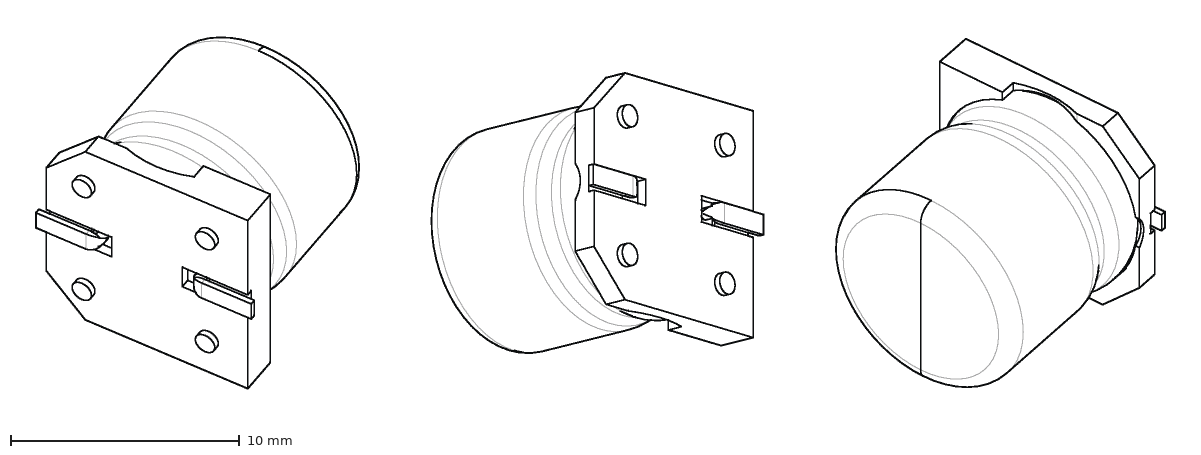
import cadquery as cq
import math


BASE_HALF = 5.15
BASE_CHAMFER = 2.0
DECK_Y = 1.12
POST_TOP_Y = 1.91
SEAT_FLOOR_Y = 0.46
POST_INNER_X = 1.73
NOTCH_DEPTH = 0.31
Z_NOTCH_HALF_WIDTH = POST_INNER_X
X_NOTCH_HALF_WIDTH = 0.82
FOOT_RADIUS = 0.5
FOOT_OFFSET = 3.15
FOOT_HEIGHT = 0.3

SLOT_HALF_WIDTH = 0.59
SLOT_DEPTH = 0.31
SLOT_INNER_X = 1.8
OPENING_OUTER_X = 2.99
LEAD_OUTER_X = 5.5
LEAD_HALF_WIDTH = 0.46
LEAD_BEND_X = 2.95
LEAD_TIP_X = 2.24
LEAD_TOP_Y = -0.02
LEAD_BOTTOM_Y = -0.29
WIRE_RADIUS = 0.26
WIRE_X = LEAD_TIP_X + WIRE_RADIUS

CAN_RADIUS = 5.0
CAN_TOP_Y = 10.21
RIM_FILLET = 0.77
BEAD_TOP_Y = 4.33
NECK_UPPER_Y = 3.72
NECK_Y = 3.01
NECK_LOWER_Y = 2.27
NECK_RADIUS = 4.63
NECK_EDGE_RADIUS = 4.87
BULGE_Y = 1.61

RIM_Y = CAN_TOP_Y - RIM_FILLET


def box(x_range, y_range, z_range):
    """Axis-aligned box from its limits along X, Y and Z."""
    return (
        cq.Workplane("XY")
        .box(
            x_range[1] - x_range[0],
            y_range[1] - y_range[0],
            z_range[1] - z_range[0],
            centered=False,
        )
        .translate((x_range[0], y_range[0], z_range[0]))
    )


def y_cylinder(radius, y_start, y_end, x=0, z=0):
    """Cylinder along Y."""
    start = cq.Vector(x, y_start, z)
    return cq.Workplane(cq.Solid.makeCylinder(radius, y_end - y_start, start, cq.Vector(0, 1, 0)))


def revolve_about_y(profile):
    """Full revolution of an open profile about the can axis."""
    return profile.close().revolve(360, (0, 0, 0), (0, 1, 0))


def arc_middle(crest, end):
    """Middle point of the arc from a crest, where it runs parallel to the can axis, to its end."""
    across = end[0] - crest[0]
    along = end[1] - crest[1]
    radius = (across**2 + along**2) / (2 * abs(across))
    half_angle = math.asin(along / radius) / 2
    x = crest[0] + math.copysign(radius * (1 - math.cos(half_angle)), across)
    return (x, crest[1] + radius * math.sin(half_angle))


def arc_notch(half_width):
    """Circular segment hanging below the deck, ready to extrude along Z."""
    return (
        cq.Workplane("XY")
        .moveTo(-half_width, DECK_Y)
        .threePointArc((0, DECK_Y - NOTCH_DEPTH), (half_width, DECK_Y))
        .close()
    )


def make_base():
    """Chamfered plate with two tall corners, a round seat, arc notches, lead slots and feet."""
    corner = BASE_HALF - BASE_CHAMFER
    plate = (
        cq.Workplane("XZ")
        .polyline([
            (-corner, -BASE_HALF),
            (BASE_HALF, -BASE_HALF),
            (BASE_HALF, BASE_HALF),
            (-corner, BASE_HALF),
            (-BASE_HALF, corner),
            (-BASE_HALF, -corner),
        ])
        .close()
        .extrude(-DECK_Y)
    )
    posts = box((POST_INNER_X, BASE_HALF), (0, POST_TOP_Y), (-BASE_HALF, BASE_HALF))
    seat = y_cylinder(CAN_RADIUS, SEAT_FLOOR_Y, POST_TOP_Y)
    z_notches = arc_notch(Z_NOTCH_HALF_WIDTH).extrude(BASE_HALF, both=True)
    x_notch = arc_notch(X_NOTCH_HALF_WIDTH).extrude(BASE_HALF).rotate((0, 0, 0), (0, 1, 0), -90)
    base = plate.union(posts).cut(seat).cut(z_notches).cut(x_notch)

    slot_width = (-SLOT_HALF_WIDTH, SLOT_HALF_WIDTH)
    slot = box((SLOT_INNER_X, BASE_HALF), (0, SLOT_DEPTH), slot_width)
    opening = box((SLOT_INNER_X, OPENING_OUTER_X), (0, SEAT_FLOOR_Y), slot_width)
    lead_clearance = slot.union(opening)
    base = base.cut(lead_clearance).cut(lead_clearance.mirror("YZ"))

    for x in (-FOOT_OFFSET, FOOT_OFFSET):
        for z in (-FOOT_OFFSET, FOOT_OFFSET):
            base = base.union(y_cylinder(FOOT_RADIUS, -FOOT_HEIGHT, 0, x, z))
    return base


def make_lead(side):
    """Flat terminal with a rounded, upswept tip and a round wire; side is +1 or -1 along X."""
    bend_radius = LEAD_BEND_X - LEAD_TIP_X
    bend_center_y = LEAD_BOTTOM_Y + bend_radius
    strip_thickness = LEAD_TOP_Y - LEAD_BOTTOM_Y
    straight = box(
        (LEAD_BEND_X, LEAD_OUTER_X),
        (LEAD_BOTTOM_Y, LEAD_TOP_Y),
        (-LEAD_HALF_WIDTH, LEAD_HALF_WIDTH),
    )
    tip = (
        cq.Workplane("XZ")
        .ellipse(bend_radius, LEAD_HALF_WIDTH)
        .extrude(-strip_thickness)
        .translate((LEAD_BEND_X, LEAD_BOTTOM_Y, 0))
    )
    bend_space = box(
        (LEAD_TIP_X, LEAD_BEND_X),
        (LEAD_BOTTOM_Y, bend_center_y),
        (-LEAD_HALF_WIDTH, LEAD_HALF_WIDTH),
    )
    bend_cylinder = (
        cq.Workplane("XY")
        .center(LEAD_BEND_X, bend_center_y)
        .circle(bend_radius)
        .extrude(LEAD_HALF_WIDTH, both=True)
    )
    wire = y_cylinder(WIRE_RADIUS, LEAD_BOTTOM_Y, SEAT_FLOOR_Y, WIRE_X)
    lead = straight.union(tip).union(wire).cut(bend_space.cut(bend_cylinder))
    return lead if side > 0 else lead.mirror("YZ")


def make_full_can():
    """Necked can with a rounded rim, including the volume of the mark."""
    bead_rise = CAN_RADIUS - NECK_EDGE_RADIUS
    bead_half = NECK_LOWER_Y - BULGE_Y
    bulge_radius = (bead_half**2 + bead_rise**2) / (2 * bead_rise)
    bottom_radius = CAN_RADIUS - bulge_radius + math.sqrt(bulge_radius**2 - (BULGE_Y - SEAT_FLOOR_Y)**2)
    rim_diagonal = RIM_FILLET * math.sqrt(0.5)
    neck = (NECK_RADIUS, NECK_Y)
    lower_edge = (NECK_EDGE_RADIUS, NECK_LOWER_Y)
    upper_edge = (NECK_EDGE_RADIUS, NECK_UPPER_Y)
    bead_top = (CAN_RADIUS, BEAD_TOP_Y)
    return revolve_about_y(
        cq.Workplane("XY")
        .moveTo(0, SEAT_FLOOR_Y)
        .lineTo(bottom_radius, SEAT_FLOOR_Y)
        .threePointArc((CAN_RADIUS, BULGE_Y), lower_edge)
        .threePointArc(arc_middle(neck, lower_edge), neck)
        .threePointArc(arc_middle(neck, upper_edge), upper_edge)
        .threePointArc(arc_middle(bead_top, upper_edge), bead_top)
        .lineTo(CAN_RADIUS, RIM_Y)
        .threePointArc(
            (CAN_RADIUS - RIM_FILLET + rim_diagonal, RIM_Y + rim_diagonal),
            (CAN_RADIUS - RIM_FILLET, CAN_TOP_Y),
        )
        .lineTo(0, CAN_TOP_Y)
    )


full_can = make_full_can()
mark_region = box((0, CAN_RADIUS), (RIM_Y, CAN_TOP_Y), (-CAN_RADIUS, CAN_RADIUS))
can = full_can.cut(mark_region)
mark = full_can.intersect(mark_region)

base = make_base()
leads = [make_lead(side) for side in (-1, 1)]

result = cq.Compound.makeCompound([
    *base.solids().vals(),
    *can.solids().vals(),
    *mark.solids().vals(),
    *[lead.solids().val() for lead in leads],
])